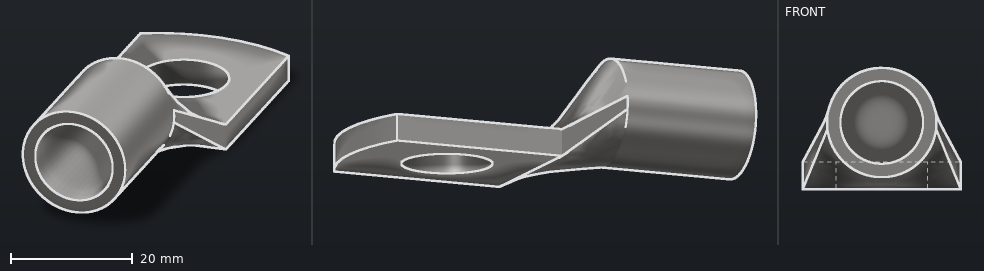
import cadquery as cq
import math

total_length = 69.0
tube_length = 23.0
neck_length = 13.5

tube_diameter = 18.0
bore_diameter = 13.6
tube_bottom_z = 2.0

palm_width = 26.0
palm_thickness = 4.5
palm_tip_radius = 30.0
bolt_hole_diameter = 15.0
bolt_hole_to_tip = 17.5

neck_flat_height_at_tube = 2.2
neck_top_sag = 2.4
neck_stations = (0.0, 0.25, 0.5, 0.75, 1.0)

tube_radius = tube_diameter / 2
tube_axis_z = tube_bottom_z + tube_radius
tube_top_z = tube_bottom_z + tube_diameter
palm_start_y = tube_length + neck_length
palm_half_width = palm_width / 2
palm_tip_rise = palm_tip_radius - math.sqrt(palm_tip_radius**2 - palm_half_width**2)
palm_corner_y = total_length - palm_tip_rise
bolt_hole_y = total_length - bolt_hole_to_tip
strip_half_height = neck_flat_height_at_tube / 2
neck_half_width_at_tube = math.sqrt(tube_radius**2 - strip_half_height**2)


def between(start, end, fraction):
    """Linear blend from start to end."""
    return start + (end - start) * fraction


def xz_plane_at(y):
    """Plane across the part at the given Y, with local x = X and local y = Z."""
    return cq.Workplane("XZ", origin=(0, y, 0))


def make_palm():
    outline = (
        cq.Workplane("XY")
        .moveTo(-palm_half_width, palm_start_y)
        .lineTo(palm_half_width, palm_start_y)
        .lineTo(palm_half_width, palm_corner_y)
        .threePointArc((0, total_length), (-palm_half_width, palm_corner_y))
        .close()
    )
    bolt_hole = (
        cq.Workplane("XY")
        .center(0, bolt_hole_y)
        .circle(bolt_hole_diameter / 2)
        .extrude(palm_thickness)
    )
    return outline.extrude(palm_thickness).cut(bolt_hole)


def make_tube():
    """Tube with a flat-bottomed bore that ends where the solid neck begins."""
    return (
        xz_plane_at(tube_length)
        .center(0, tube_axis_z)
        .circle(tube_radius)
        .circle(bore_diameter / 2)
        .extrude(tube_length)
    )


def sag_share(fraction):
    """Cubic dip: 0 at both ends, 1 at its deepest, a third of the way from palm to tube."""
    deepest_at = 1 / 3
    return fraction * (1 - fraction) ** 2 / (deepest_at * (1 - deepest_at) ** 2)


def neck_section(fraction):
    """Neck outline at a fraction of the way from palm to tube: straight sides, arched top and bottom."""
    y = between(palm_start_y, tube_length, fraction)
    half_width = between(palm_half_width, neck_half_width_at_tube, fraction)
    side_bottom_z = between(0, tube_axis_z - strip_half_height, fraction)
    side_top_z = between(palm_thickness, tube_axis_z + strip_half_height, fraction)
    bottom_z = between(0, tube_bottom_z, fraction)
    top_sag = neck_top_sag * sag_share(fraction)
    top_z = between(palm_thickness, tube_top_z, fraction) - top_sag

    section = xz_plane_at(y).moveTo(-half_width, side_bottom_z)
    if fraction == 0:
        section = section.lineTo(half_width, side_bottom_z)
        section = section.lineTo(half_width, side_top_z)
        section = section.lineTo(-half_width, side_top_z)
    else:
        section = section.threePointArc((0, bottom_z), (half_width, side_bottom_z))
        section = section.lineTo(half_width, side_top_z)
        section = section.threePointArc((0, top_z), (-half_width, side_top_z))
    return section.close().val()


def make_neck():
    sections = [neck_section(fraction) for fraction in neck_stations]
    return cq.Workplane(cq.Solid.makeLoft(sections))


result = make_palm().union(make_neck()).union(make_tube())